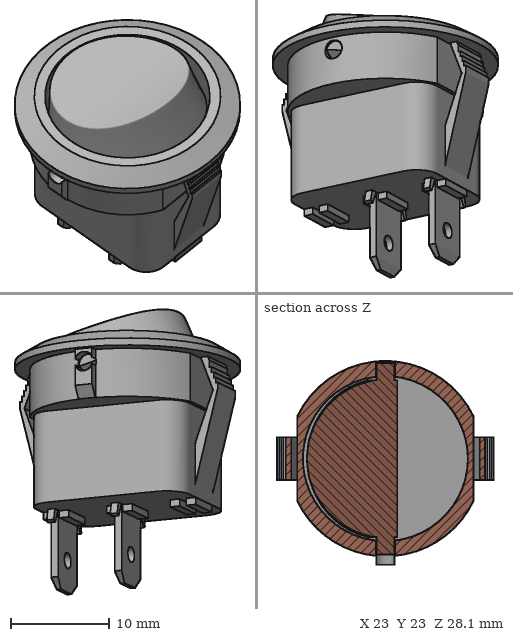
import cadquery as cq


bezel_radius = 23.0 / 2
bezel_top_radius = 9.5
bezel_thickness = 1.97
bezel_edge_height = 0.73

collar_radius = 9.98
collar_half_width = 9.0
collar_bottom = -7.0
bore_radius = 16.8 / 2
floor_thickness = 1.0

base_length = 17.15
base_width = 12.42
base_corner_radius = 2.5
base_bottom = -16.52

rib_width = 1.88
rib_reach = 10.85
rib_chamfer_height = 1.26
rib_chamfer_depth = 0.81

pivot_z = -3.3
pivot_hole_diameter = 2.0
axle_diameter = 1.9
axle_reach = 9.78
rocker_tilt = 13.0
rocker_base_radius = 8.2
rocker_draft = 11.6
rocker_flat_offset = 8.0
rocker_rim_radius = 7.1
rocker_rim_height = 5.45
dish_sag = 0.9
rim_fillet = 0.2

clip_width = 4.38
clip_root_x = 9.2
clip_top_x = 9.98
clip_knee_inner_x = 10.57
clip_knee_z = -5.5
clip_lead_in_z = -2.4
clip_first_step_x = 10.17
clip_first_step_z = -3.1
clip_step_depth = 0.22
clip_step_height = 0.55
clip_step_count = 4
clip_base_top_z = -10.87
clip_base_bottom_z = -15.17

terminal_pitch = 7.1
terminal_thickness = 0.8
terminal_width = 4.72
terminal_tip_z = -24.55
terminal_tip_width = 2.6
terminal_tip_thickness = 0.48
terminal_taper_height = 1.1
terminal_hole_diameter = 1.6
terminal_hole_z = -21.33
foot_thickness = 1.05
foot_gap = 0.75
foot_width = 4.02
foot_height = 0.73
barb_inner_y = 2.4
barb_outer_y = 3.15
barb_tip_outer_y = 3.43
barb_tip_inner_y = 3.03
barb_tip_bevel = 0.25
barb_length = 1.38
barb_outer_length = 1.18


def make_bezel():
    bevel_height = bezel_thickness - bezel_edge_height
    bevel_width = bezel_radius - bezel_top_radius
    bezel = (
        cq.Workplane("XY")
        .workplane(offset=-bezel_thickness)
        .circle(bezel_radius)
        .extrude(bezel_thickness)
    )
    return bezel.faces(">Z").edges().chamfer(bevel_height, bevel_width)


def make_collar():
    """Round collar with a flat on each X side, behind the clips."""
    height = -bezel_thickness - collar_bottom
    collar = cq.Workplane("XY").workplane(offset=collar_bottom).circle(collar_radius).extrude(height)
    flats = (
        cq.Workplane("XY")
        .workplane(offset=collar_bottom)
        .rect(2 * collar_half_width, 2 * collar_radius)
        .extrude(height)
    )
    return collar.intersect(flats)


def make_base():
    return (
        cq.Workplane("XY")
        .workplane(offset=base_bottom)
        .rect(base_length, base_width)
        .extrude(collar_bottom - base_bottom)
        .edges("|Z")
        .fillet(base_corner_radius)
    )


def make_rib():
    """Key rib on the -Y side of the collar, bevelled at its lower end."""
    profile = [
        (-bore_radius, -bezel_thickness),
        (-rib_reach, -bezel_thickness),
        (-rib_reach, collar_bottom + rib_chamfer_height),
        (-rib_reach + rib_chamfer_depth, collar_bottom),
        (-bore_radius, collar_bottom),
    ]
    return cq.Workplane("YZ").polyline(profile).close().extrude(rib_width / 2, both=True)


def make_clip():
    """Stepped snap clip on the +X side, bent from the base up to the bezel."""
    base_x = base_length / 2
    profile = [
        (clip_root_x, -bezel_thickness),
        (clip_top_x, -bezel_thickness),
        (clip_first_step_x, clip_lead_in_z),
    ]
    for step in range(clip_step_count):
        step_x = clip_first_step_x + step * clip_step_depth
        step_z = clip_first_step_z - step * clip_step_height
        profile += [(step_x, step_z), (step_x + clip_step_depth, step_z)]
    knee_outer_x = clip_first_step_x + clip_step_count * clip_step_depth
    profile += [
        (knee_outer_x, clip_knee_z),
        (base_x, clip_base_bottom_z),
        (base_x, clip_base_top_z),
        (clip_knee_inner_x, clip_knee_z),
    ]
    return cq.Workplane("XZ").polyline(profile).close().extrude(clip_width / 2, both=True)


def make_feet(center_x):
    """Pair of guide feet under the base, one on each side of a terminal place."""
    offset = (foot_gap + foot_thickness) / 2
    return (
        cq.Workplane("XY")
        .workplane(offset=base_bottom)
        .pushPoints([(center_x - offset, 0), (center_x + offset, 0)])
        .rect(foot_thickness, foot_width)
        .extrude(-foot_height)
    )


def make_terminal(center_x):
    """Blade terminal with a tapered tip, a round hole and two splayed barbs."""
    taper_top = terminal_tip_z + terminal_taper_height
    blade = (
        cq.Workplane("XY", origin=(center_x, 0, taper_top))
        .rect(terminal_thickness, terminal_width)
        .extrude(base_bottom - taper_top)
    )
    tip = (
        cq.Workplane("XY", origin=(center_x, 0, taper_top))
        .rect(terminal_thickness, terminal_width)
        .workplane(offset=-terminal_taper_height)
        .rect(terminal_tip_thickness, terminal_tip_width)
        .loft()
    )
    hole = (
        cq.Workplane("YZ", origin=(center_x, 0, terminal_hole_z))
        .circle(terminal_hole_diameter / 2)
        .extrude(terminal_thickness, both=True)
    )
    terminal = blade.union(tip).cut(hole)
    for side in (-1, 1):
        barb = (
            cq.Workplane("YZ", origin=(center_x, 0, base_bottom))
            .moveTo(side * barb_inner_y, 0)
            .lineTo(side * barb_outer_y, 0)
            .lineTo(side * barb_tip_outer_y, -barb_outer_length)
            .lineTo(side * (barb_tip_outer_y - barb_tip_bevel), -barb_length)
            .lineTo(side * barb_tip_inner_y, -barb_length)
            .close()
            .extrude(terminal_thickness / 2, both=True)
        )
        terminal = terminal.union(barb)
    return terminal


def make_housing():
    housing = make_bezel().union(make_collar()).union(make_base()).union(make_rib())

    clip = make_clip()
    housing = housing.union(clip).union(clip.mirror("YZ"))

    bore_floor = collar_bottom + floor_thickness
    bore = cq.Workplane("XY").circle(bore_radius).extrude(bore_floor)
    pivot_hole = (
        cq.Workplane("XZ", origin=(0, 0, pivot_z))
        .circle(pivot_hole_diameter / 2)
        .extrude(rib_reach, both=True)
    )
    housing = housing.cut(bore).cut(pivot_hole)

    for center_x in (-terminal_pitch, 0, terminal_pitch):
        housing = housing.union(make_feet(center_x))
    for center_x in (-terminal_pitch, 0):
        housing = housing.union(make_terminal(center_x))
    return housing


def make_button():
    """Drafted round button with two side flats and a dished, rounded top."""
    height = rocker_rim_height + rim_fillet
    button = cq.Workplane("XY").circle(rocker_base_radius).extrude(height, taper=rocker_draft)
    flats = cq.Workplane("XY").rect(2 * rocker_base_radius, 2 * rocker_flat_offset).extrude(height)
    dish_radius = (rocker_rim_radius**2 + dish_sag**2) / (2 * dish_sag)
    dish_center_z = rocker_rim_height - dish_sag + dish_radius
    dish = (
        cq.Workplane("XZ", origin=(0, 0, dish_center_z))
        .circle(dish_radius)
        .extrude(rocker_base_radius, both=True)
    )
    button = button.cut(dish)
    dish_floor = (0, 0, rocker_rim_height - dish_sag)
    dish_face = button.faces(cq.selectors.NearestToPointSelector(dish_floor))
    button = dish_face.edges().fillet(rim_fillet)
    return button.intersect(flats)


def make_axle():
    """Pivot axle along Y; the lower half of each end is cut back at 45 degrees."""
    radius = axle_diameter / 2
    axle = cq.Workplane("XZ").circle(radius).extrude(axle_reach, both=True)
    for side in (-1, 1):
        bevel = (
            cq.Workplane("YZ")
            .moveTo(side * axle_reach, 0)
            .lineTo(side * axle_reach, -radius)
            .lineTo(side * (axle_reach - radius), -radius)
            .close()
            .extrude(radius, both=True)
        )
        axle = axle.cut(bevel)
    return axle


def make_rocker():
    rocker = make_button().union(make_axle())
    return rocker.rotate((0, 0, 0), (0, 1, 0), -rocker_tilt).translate((0, 0, pivot_z))


housing = make_housing()
rocker = make_rocker()
result = cq.Compound.makeCompound([housing.val(), rocker.val()])